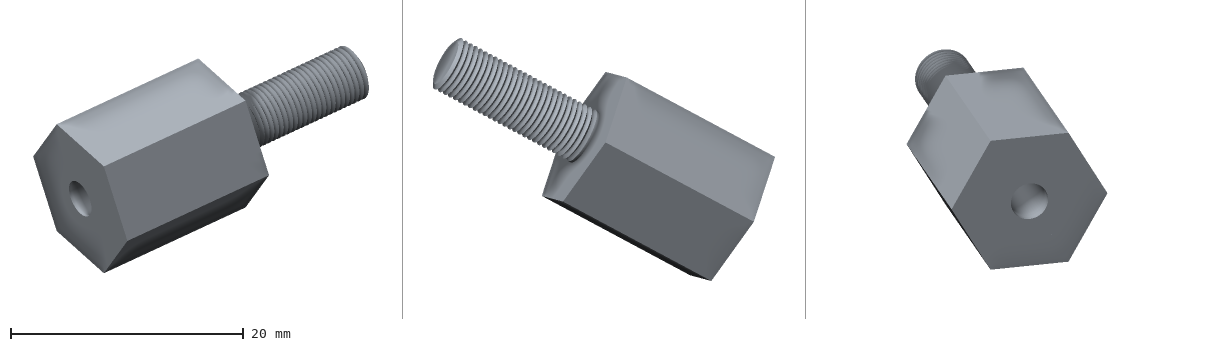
import cadquery as cq
import math

overall_length = 29.0
housing_length = 15.0
stud_length = overall_length - housing_length

across_flats = 12.0
across_corners = across_flats / math.cos(math.pi / 6)

insert_length = 9.0
sleeve_diameter = 7.0
knurl_tip_radius = 4.0
knurl_root_radius = 7.5 / 2
tooth_count = 40
bore_diameter = 3.3

crest_radius = 5.0 / 2
ridge_count = 28
pitch = stud_length / ridge_count
thread_depth = pitch / 2 * math.tan(math.pi / 3)
root_radius = crest_radius - thread_depth


def polar_point(radius, angle):
    return (radius * math.cos(angle), radius * math.sin(angle))


def front_plane():
    """Plane of the front face, facing into the part (+Y)."""
    return cq.Workplane(cq.Plane(origin=(0, 0, 0), xDir=(1, 0, 0), normal=(0, 1, 0)))


def knurled_bar():
    tooth_angle = 2 * math.pi / tooth_count
    outline = []
    for tooth in range(tooth_count):
        tip_angle = tooth * tooth_angle
        outline.append(polar_point(knurl_tip_radius, tip_angle))
        outline.append(polar_point(knurl_root_radius, tip_angle + tooth_angle / 2))
    return front_plane().polyline(outline).close().extrude(insert_length)


def make_housing():
    hexagon = front_plane().polygon(6, across_corners).extrude(housing_length)
    return hexagon.cut(knurled_bar())


def make_insert():
    """Sleeve and tooth band in one solid, keeping the circle between them as a face boundary."""
    sleeve_bar = front_plane().circle(sleeve_diameter / 2).extrude(insert_length)
    bore = front_plane().circle(bore_diameter / 2).extrude(insert_length)
    tooth_band = knurled_bar().cut(sleeve_bar)
    sleeve = sleeve_bar.cut(bore)
    return sleeve.union(tooth_band, clean=False)


def make_stud():
    """Threaded stud revolved from its half profile, standing on the rear face."""
    profile = [(0, overall_length), (root_radius, overall_length)]
    for ridge in range(ridge_count):
        ridge_end = overall_length - ridge * pitch
        profile.append((crest_radius, ridge_end - pitch / 2))
        profile.append((root_radius, ridge_end - pitch))
    profile[-1] = (crest_radius, housing_length)
    profile.append((0, housing_length))
    return cq.Workplane("XY").polyline(profile).close().revolve(360, (0, 0, 0), (0, 1, 0))


housing = make_housing()
insert = make_insert()
stud = make_stud()

result = cq.Compound.makeCompound([housing.val(), insert.val(), stud.val()])